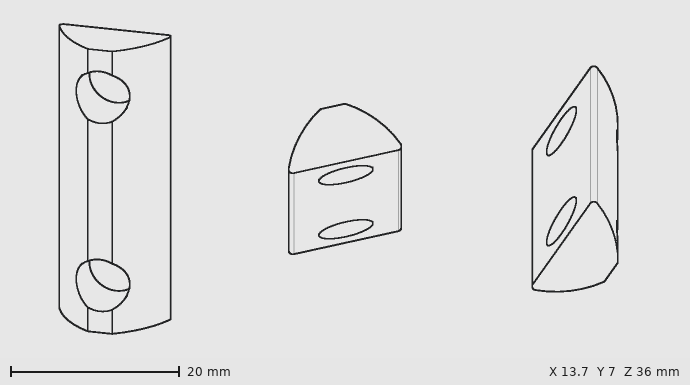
import cadquery as cq
import math

length = 36.0
width = 13.7
depth = 7.0

nose_width = 3.0
corner_radius = 0.5
flank_radius = 13.0

hole_diameter = 6.6
hole_end_distance = 6.0

back_y = depth / 2
nose_y = -depth / 2
corner_x = width / 2 - corner_radius
corner_y = back_y - corner_radius

nose_x = nose_width / 2
inner_radius = flank_radius - corner_radius
span_x = corner_x - nose_x
span_y = corner_y - nose_y
span = math.hypot(span_x, span_y)
along = (span**2 + flank_radius**2 - inner_radius**2) / (2 * span)
across = math.sqrt(flank_radius**2 - along**2)
center_x = nose_x + (along * span_x - across * span_y) / span
center_y = nose_y + (along * span_y + across * span_x) / span


def flank_point(angle):
    """Point on the right flank arc at the given angle."""
    return (
        center_x + flank_radius * math.cos(angle),
        center_y + flank_radius * math.sin(angle),
    )


def corner_point(angle):
    """Point on the right rounded corner at the given angle."""
    return (
        corner_x + corner_radius * math.cos(angle),
        corner_y + corner_radius * math.sin(angle),
    )


def mirrored(point):
    """Matching point on the left side of the section."""
    return (-point[0], point[1])


nose_angle = math.atan2(nose_y - center_y, nose_x - center_x)
tangent_angle = math.atan2(corner_y - center_y, corner_x - center_x)
nose_edge = (nose_x, nose_y)
flank_middle = flank_point((nose_angle + tangent_angle) / 2)
flank_end = flank_point(tangent_angle)
corner_middle = corner_point((tangent_angle + math.pi / 2) / 2)
back_edge = (corner_x, back_y)

bar = (
    cq.Workplane("XY")
    .moveTo(*mirrored(nose_edge))
    .lineTo(*nose_edge)
    .threePointArc(flank_middle, flank_end)
    .threePointArc(corner_middle, back_edge)
    .lineTo(*mirrored(back_edge))
    .threePointArc(mirrored(corner_middle), mirrored(flank_end))
    .threePointArc(mirrored(flank_middle), mirrored(nose_edge))
    .close()
    .extrude(length)
    .translate((0, 0, -length / 2))
)

hole_z = length / 2 - hole_end_distance
holes = (
    cq.Workplane("XZ", origin=(0, back_y, 0))
    .pushPoints([(0, -hole_z), (0, hole_z)])
    .circle(hole_diameter / 2)
    .extrude(depth)
)

result = bar.cut(holes)